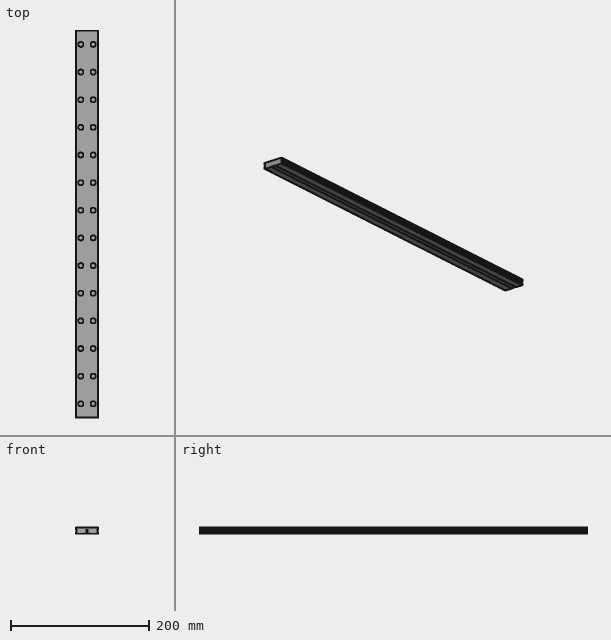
import cadquery as cq

LENGTH = 560.0
WIDTH = 33.0
HEIGHT = 9.5
EDGE_CHAMFER = 0.95

GROOVE_DEPTH = 1.5
GROOVE_MOUTH_BOTTOM = 2.0
GROOVE_MOUTH_TOP = 7.0
GROOVE_FLOOR_BOTTOM = 3.65
GROOVE_FLOOR_TOP = 5.5

CHANNEL_WIDTH = 7.0
CHANNEL_DEPTH = 0.5

RECESSES_PER_ROW = 14
RECESS_PITCH = LENGTH / RECESSES_PER_ROW
ROW_SPACING = 18.0
RECESS_RADIUS = 3.75
RECESS_DEPTH = 0.1

END_HOLE_DIAMETER = 3.0
END_HOLE_DEPTH = 11.0


def rail_body():
    """Extrude the cross-section: chamfered corners, side grooves and underside channel."""
    side = WIDTH / 2
    groove_floor = side - GROOVE_DEPTH
    channel_side = CHANNEL_WIDTH / 2
    right_half = [
        (channel_side, CHANNEL_DEPTH),
        (channel_side, 0),
        (side - EDGE_CHAMFER, 0),
        (side, EDGE_CHAMFER),
        (side, GROOVE_MOUTH_BOTTOM),
        (groove_floor, GROOVE_FLOOR_BOTTOM),
        (groove_floor, GROOVE_FLOOR_TOP),
        (side, GROOVE_MOUTH_TOP),
        (side, HEIGHT - EDGE_CHAMFER),
        (side - EDGE_CHAMFER, HEIGHT),
    ]
    left_half = [(-x, z) for x, z in reversed(right_half)]
    return (
        cq.Workplane("XZ", origin=(0, LENGTH / 2, 0))
        .polyline(right_half + left_half)
        .close()
        .extrude(LENGTH)
    )


def top_recesses():
    """Cutters for the two rows of round recesses."""
    return (
        cq.Workplane("XY", origin=(0, 0, HEIGHT - RECESS_DEPTH))
        .rarray(ROW_SPACING, RECESS_PITCH, 2, RECESSES_PER_ROW)
        .circle(RECESS_RADIUS)
        .extrude(RECESS_DEPTH)
    )


def end_hole():
    """Cutter for the blind hole, running inward from the -Y end."""
    return (
        cq.Workplane("XZ", origin=(0, -LENGTH / 2, HEIGHT / 2))
        .circle(END_HOLE_DIAMETER / 2)
        .extrude(-END_HOLE_DEPTH)
    )


result = rail_body().cut(top_recesses()).cut(end_hole())